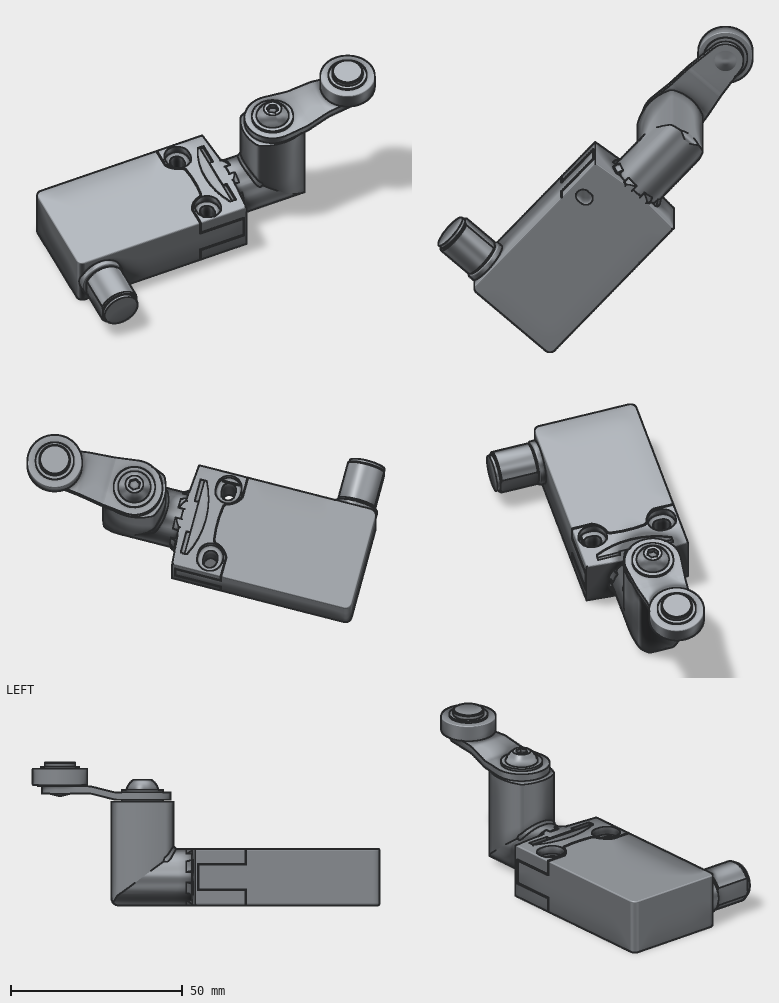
import cadquery as cq
import math


BODY_HALF_WIDTH = 15.5
BODY_HEIGHT = 16.5
BODY_FRONT_Y = -69.03
BODY_REAR_Y = -14.4
BODY_REAR_SIDE_Y = -15.4
BODY_CORNER_RADIUS = 1.9
BODY_TOP_ROUND = 0.4
BODY_BOTTOM_ROUND = 0.6
REAR_TAB_HALF_WIDTH = 3.5
MID_HEIGHT = BODY_HEIGHT / 2

GROOVE = 0.25
SEAM_Y = -30.1
TONGUE_END_Y = -16.3
TONGUE_BOTTOM = 4.6
TONGUE_TOP = 12.0

HOLE_X = 10.5
HOLE_Y = -25.6
COUNTERBORE_LENGTH = 8.4
COUNTERBORE_WIDTH = 7.5
COUNTERBORE_DEPTH = 2.5
HOLE_LENGTH = 5.2
HOLE_WIDTH = 4.1
BLIND_HOLE_FLOOR = 5.0
SLIT_X = 13.1
SLIT_WIDTH = 0.3
SLIT_HALF_LENGTH = 2.5
SLIT_DEPTH = 0.5

RECESS_HALF_WIDTH = 11.4
RECESS_REAR_Y = -16.9
RECESS_STEP_Y = -18.1
RECESS_END_Y = -18.8
RECESS_FRONT_Y = -21.5
RECESS_DEPTH = 0.4
RECESS_TAB_HALF_WIDTH = 4.7
RAMP_DEPTH = 1.0

CONNECTOR_Y = -62.2
CONNECTOR_TIP_X = 30.0
COLLAR_RADIUS = 6.5
COLLAR_END_X = 17.2
COLLAR_ROUND = 0.4
NECK_RADIUS = 5.3
BARREL_START_X = 17.4
BARREL_END_X = 29.0
BARREL_RADIUS = 6.1
BARREL_FLAT_DISTANCE = 5.45
BARREL_CHAMFER = 0.4

ARM_RADIUS = MID_HEIGHT
COLUMN_TOP = 30.3
COLUMN_HALF_DEPTH = 9.07
COLUMN_HALF_WIDTH = ARM_RADIUS
COLUMN_END_CORNER = (5.7, 7.7)
COLUMN_SIDE_CORNER = (6.7, 6.5)
CORNER_BULGE = 0.1
ELBOW_ROUND = 2.2
CROTCH_CHAMFER = 0.8

TOOTH_COUNT = 8
TOOTH_WIDTH = 3.4
TOOTH_LENGTH = 1.6
TOOTH_TIP_RADIUS = 9.2

LEVER_LENGTH = 24.0
LEVER_HUB_RADIUS = 8.2
LEVER_TIP_RADIUS = 5.25
LEVER_BOTTOM = 30.8
LEVER_THICKNESS = 2.15
LEVER_RISE = 1.8
BEND_START_Y = 8.0
BEND_END_Y = 15.1
BEND_RADIUS = 5.0
WASHER_RADIUS = 6.05
UPPER_WASHER_THICKNESS = 0.7

SCREW_RADIUS = 4.75
SCREW_FLAT_RADIUS = 2.6
SCREW_TOP = 36.7
DOME_BULGE = 0.25
SOCKET_RADIUS = 1.7
SOCKET_DEPTH = 1.5

ROLLER_RADIUS = 8.0
ROLLER_BOTTOM = 35.1
ROLLER_TOP = 39.9
ROLLER_ROUND = 0.3
ROLLER_WASHER_RADIUS = 5.6
ROLLER_LOWER_WASHER_RADIUS = 6.4
ROLLER_WASHER_TOP = 40.4
RIVET_RADIUS = 4.5
RIVET_TOP = 41.8
RIVET_CHAMFER = 0.3
RIVET_TAIL_RADIUS = 3.2
RIVET_TAIL_HEIGHT = 0.8

MARGIN = 1.0

lever_top = LEVER_BOTTOM + LEVER_THICKNESS
washer_top = lever_top + UPPER_WASHER_THICKNESS


def block(x_min, x_max, y_min, y_max, z_min, z_max):
    """Box given by its limits along each axis."""
    size = (x_max - x_min, y_max - y_min, z_max - z_min)
    return cq.Workplane("XY").box(*size, centered=False).translate((x_min, y_min, z_min))


def disc(radius, z_min, z_max, y=0.0):
    """Upright cylinder centred on the plane X = 0."""
    return cq.Workplane("XY").workplane(offset=z_min).center(0, y).circle(radius).extrude(z_max - z_min)


def obround(x, length, width, z_min, z_max):
    """Upright slot-shaped prism, long along X, at a fixing hole."""
    plane = cq.Workplane("XY").workplane(offset=z_min)
    return plane.center(x, HOLE_Y).slot2D(length, width).extrude(z_max - z_min)


def rod(radius, x_min, x_max):
    """Cylinder on the connector axis, along X."""
    plane = cq.Workplane("YZ").workplane(offset=x_min)
    return plane.center(CONNECTOR_Y, MID_HEIGHT).circle(radius).extrude(x_max - x_min)


def make_housing():
    """Box with rounded front corners and a rear face sloping to both sides of a middle tab."""
    w = BODY_HALF_WIDTH
    tab = REAR_TAB_HALF_WIDTH
    outline = [
        (-w, BODY_FRONT_Y),
        (w, BODY_FRONT_Y),
        (w, BODY_REAR_SIDE_Y),
        (tab, BODY_REAR_Y),
        (-tab, BODY_REAR_Y),
        (-w, BODY_REAR_SIDE_Y),
    ]
    housing = cq.Workplane("XY").polyline(outline).close().extrude(BODY_HEIGHT)
    housing = housing.faces("<Y").edges("|Z").fillet(BODY_CORNER_RADIUS)
    housing = housing.faces("<Z").edges("not >Y").fillet(BODY_BOTTOM_ROUND)
    housing = housing.faces(">Z").edges("not >Y").fillet(BODY_TOP_ROUND)
    return housing


def frame(outline):
    """Groove-wide ring following a closed outline, one groove deep above its plane."""
    outer = outline.offset2D(GROOVE / 2, "intersection").extrude(GROOVE)
    inner = outline.toPending().offset2D(-GROOVE / 2, "intersection").extrude(GROOVE)
    return outer.cut(inner)


def cut_joint_grooves(housing):
    """Joint line of the cover on the top face and on both side faces.

    On the top face it skirts both counterbores and crosses between them in a shallow crown.
    """
    beyond = 5.0
    edge = BODY_HALF_WIDTH + beyond
    bend = (9.4, SEAM_Y)
    bay_side = (7.4, -28.6)
    bay_end = (6.0, -25.9)
    crown_start = (5.3, -25.4)
    crown_y = -25.0
    front = BODY_FRONT_Y - beyond
    top_outline = (
        cq.Workplane("XY").workplane(offset=BODY_HEIGHT - GROOVE)
        .moveTo(-edge, front)
        .lineTo(-edge, SEAM_Y)
        .lineTo(-bend[0], bend[1])
        .threePointArc((-bay_side[0], bay_side[1]), (-bay_end[0], bay_end[1]))
        .lineTo(-crown_start[0], crown_start[1])
        .threePointArc((0, crown_y), crown_start)
        .lineTo(*bay_end)
        .threePointArc(bay_side, bend)
        .lineTo(edge, SEAM_Y)
        .lineTo(edge, front)
        .close()
    )
    housing = housing.cut(frame(top_outline))
    side_outline = [
        (front, -beyond),
        (SEAM_Y, -beyond),
        (SEAM_Y, TONGUE_BOTTOM),
        (TONGUE_END_Y, TONGUE_BOTTOM),
        (TONGUE_END_Y, TONGUE_TOP),
        (SEAM_Y, TONGUE_TOP),
        (SEAM_Y, BODY_HEIGHT + beyond),
        (front, BODY_HEIGHT + beyond),
    ]
    for start_x in (-BODY_HALF_WIDTH, BODY_HALF_WIDTH - GROOVE):
        plane = cq.Workplane("YZ").workplane(offset=start_x)
        housing = housing.cut(frame(plane.polyline(side_outline).close()))
    return housing


def cut_fixing_holes(housing):
    """Two elongated counterbored holes; the one on the -X side is blind, the other has a slit in its step."""
    floor = BODY_HEIGHT - COUNTERBORE_DEPTH
    for x, hole_bottom in ((-HOLE_X, BLIND_HOLE_FLOOR), (HOLE_X, 0)):
        housing = housing.cut(obround(x, COUNTERBORE_LENGTH, COUNTERBORE_WIDTH, floor, BODY_HEIGHT))
        housing = housing.cut(obround(x, HOLE_LENGTH, HOLE_WIDTH, hole_bottom, floor))
    slit = block(
        SLIT_X,
        SLIT_X + SLIT_WIDTH,
        HOLE_Y - SLIT_HALF_LENGTH,
        HOLE_Y + SLIT_HALF_LENGTH,
        floor - SLIT_DEPTH,
        floor,
    )
    return housing.cut(slit)


def cut_bow_recess(housing):
    """Shallow bow-shaped recess with a ramped slot at each end of its straight edge."""
    w = RECESS_HALF_WIDTH
    bow = (
        cq.Workplane("XY").workplane(offset=BODY_HEIGHT - RECESS_DEPTH)
        .moveTo(-w, RECESS_STEP_Y)
        .lineTo(-w, RECESS_END_Y)
        .threePointArc((0, RECESS_FRONT_Y), (w, RECESS_END_Y))
        .lineTo(w, RECESS_STEP_Y)
        .close()
        .extrude(RECESS_DEPTH)
    )
    housing = housing.cut(bow)
    ramp_profile = [
        (RECESS_STEP_Y, BODY_HEIGHT),
        (RECESS_STEP_Y, BODY_HEIGHT - RECESS_DEPTH),
        (RECESS_REAR_Y, BODY_HEIGHT - RAMP_DEPTH),
        (RECESS_REAR_Y, BODY_HEIGHT),
    ]
    for start_x in (-w, RECESS_TAB_HALF_WIDTH):
        plane = cq.Workplane("YZ").workplane(offset=start_x)
        housing = housing.cut(plane.polyline(ramp_profile).close().extrude(w - RECESS_TAB_HALF_WIDTH))
    return housing


def make_connector():
    """Collar, two-flat barrel and tip of the cable connector."""
    inner_x = BODY_HALF_WIDTH - BODY_CORNER_RADIUS
    collar = rod(COLLAR_RADIUS, inner_x, COLLAR_END_X).faces(">X").edges().fillet(COLLAR_ROUND)
    barrel = rod(BARREL_RADIUS, BARREL_START_X, BARREL_END_X).edges().chamfer(BARREL_CHAMFER)
    flats = block(
        BARREL_START_X,
        BARREL_END_X,
        CONNECTOR_Y - BARREL_FLAT_DISTANCE,
        CONNECTOR_Y + BARREL_FLAT_DISTANCE,
        0,
        BODY_HEIGHT,
    )
    core = rod(NECK_RADIUS, inner_x, CONNECTOR_TIP_X)
    return collar.union(barrel.intersect(flats)).union(core)


def column_prism(z_min, z_max):
    """Prism with four bulging faces joined by small rounded corners."""
    ex, ey = COLUMN_END_CORNER
    sx, sy = COLUMN_SIDE_CORNER
    mx = (ex + sx) / 2 + CORNER_BULGE
    my = (ey + sy) / 2 + CORNER_BULGE
    return (
        cq.Workplane("XY").workplane(offset=z_min)
        .moveTo(-ex, -ey)
        .threePointArc((0, -COLUMN_HALF_DEPTH), (ex, -ey))
        .threePointArc((mx, -my), (sx, -sy))
        .threePointArc((COLUMN_HALF_WIDTH, 0), (sx, sy))
        .threePointArc((mx, my), (ex, ey))
        .threePointArc((0, COLUMN_HALF_DEPTH), (-ex, ey))
        .threePointArc((-mx, my), (-sx, sy))
        .threePointArc((-COLUMN_HALF_WIDTH, 0), (-sx, -sy))
        .threePointArc((-mx, -my), (-ex, -ey))
        .close()
        .extrude(z_max - z_min)
    )


def arm_cylinder(y_min, y_max):
    """Round arm along Y."""
    plane = cq.Workplane("XZ", origin=(0, y_max, MID_HEIGHT))
    return plane.circle(ARM_RADIUS).extrude(y_max - y_min)


def make_elbow():
    """Upright column and horizontal arm meeting in an elbow with a rounded heel and a chamfered crotch."""
    column = column_prism(MID_HEIGHT, COLUMN_TOP)
    arm = arm_cylinder(BODY_REAR_Y, 0)
    corner = column_prism(0, MID_HEIGHT).intersect(arm_cylinder(0, COLUMN_HALF_DEPTH))
    heel = block(
        -COLUMN_HALF_DEPTH,
        COLUMN_HALF_DEPTH,
        -COLUMN_HALF_DEPTH,
        COLUMN_HALF_DEPTH,
        0,
        COLUMN_TOP,
    )
    heel = heel.edges("|X and >Y and <Z").fillet(ELBOW_ROUND)
    elbow = column.union(arm).union(corner.intersect(heel))
    crotch = cq.selectors.BoxSelector(
        (-MARGIN, -COLUMN_HALF_DEPTH - MARGIN, BODY_HEIGHT - MARGIN),
        (MARGIN, -COLUMN_HALF_DEPTH + MARGIN, BODY_HEIGHT + MARGIN),
    )
    return elbow.edges(crotch).chamfer(CROTCH_CHAMFER)


def make_teeth():
    """Ring of ramped teeth around the arm, trimmed to the height of the housing."""
    ring_profile = [
        (0, BODY_REAR_Y - MARGIN),
        (TOOTH_TIP_RADIUS, BODY_REAR_Y - MARGIN),
        (TOOTH_TIP_RADIUS, BODY_REAR_Y),
        (ARM_RADIUS, BODY_REAR_Y + TOOTH_LENGTH),
        (0, BODY_REAR_Y + TOOTH_LENGTH),
    ]
    ring = cq.Workplane("XY").polyline(ring_profile).close().revolve(360, (0, 0, 0), (0, 1, 0))
    pitch = 360 / TOOTH_COUNT
    spokes = cq.Workplane("XY")
    for index in range(TOOTH_COUNT):
        spoke = block(
            0,
            TOOTH_TIP_RADIUS + MARGIN,
            BODY_REAR_Y - MARGIN,
            BODY_REAR_Y + TOOTH_LENGTH,
            -TOOTH_WIDTH / 2,
            TOOTH_WIDTH / 2,
        )
        spokes = spokes.union(spoke.rotate((0, 0, 0), (0, 1, 0), (index + 0.5) * pitch))
    teeth = ring.intersect(spokes).translate((0, 0, MID_HEIGHT))
    limit = block(
        -BODY_HALF_WIDTH,
        BODY_HALF_WIDTH,
        BODY_FRONT_Y,
        0,
        0,
        BODY_HEIGHT,
    )
    return teeth.intersect(limit)


def make_lever():
    """Tapered strip with two round ends, cranked upwards between hub and tip."""
    slope = math.asin((LEVER_HUB_RADIUS - LEVER_TIP_RADIUS) / LEVER_LENGTH)
    hub_x = LEVER_HUB_RADIUS * math.cos(slope)
    hub_y = LEVER_HUB_RADIUS * math.sin(slope)
    tip_x = LEVER_TIP_RADIUS * math.cos(slope)
    tip_y = LEVER_LENGTH + LEVER_TIP_RADIUS * math.sin(slope)
    plan = (
        cq.Workplane("XY").workplane(offset=LEVER_BOTTOM)
        .moveTo(hub_x, hub_y)
        .lineTo(tip_x, tip_y)
        .threePointArc((0, LEVER_LENGTH + LEVER_TIP_RADIUS), (-tip_x, tip_y))
        .lineTo(-hub_x, hub_y)
        .threePointArc((0, -LEVER_HUB_RADIUS), (hub_x, hub_y))
        .close()
        .extrude(LEVER_THICKNESS + LEVER_RISE)
    )
    start_y = -LEVER_HUB_RADIUS
    end_y = LEVER_LENGTH + LEVER_TIP_RADIUS
    strip_profile = [
        (start_y, LEVER_BOTTOM),
        (BEND_START_Y, LEVER_BOTTOM),
        (BEND_END_Y, LEVER_BOTTOM + LEVER_RISE),
        (end_y, LEVER_BOTTOM + LEVER_RISE),
        (end_y, lever_top + LEVER_RISE),
        (BEND_END_Y, lever_top + LEVER_RISE),
        (BEND_START_Y, lever_top),
        (start_y, lever_top),
    ]
    strip = cq.Workplane("YZ").polyline(strip_profile).close().extrude(LEVER_HUB_RADIUS, both=True)
    bends = cq.selectors.BoxSelector(
        (-MARGIN, start_y + MARGIN, LEVER_BOTTOM - MARGIN),
        (MARGIN, end_y - MARGIN, lever_top + LEVER_RISE + MARGIN),
    )
    strip = strip.edges("|X").edges(bends).fillet(BEND_RADIUS)
    return plan.intersect(strip)


def make_screw():
    """Washers and button-head screw that hold the lever on the column."""
    lower_washer = disc(WASHER_RADIUS, COLUMN_TOP, LEVER_BOTTOM)
    upper_washer = disc(WASHER_RADIUS, lever_top, washer_top)
    dome_mid = (
        (SCREW_RADIUS + SCREW_FLAT_RADIUS) / 2 + DOME_BULGE,
        (washer_top + SCREW_TOP) / 2 + DOME_BULGE,
    )
    dome = (
        cq.Workplane("XZ")
        .moveTo(0, washer_top)
        .lineTo(SCREW_RADIUS, washer_top)
        .threePointArc(dome_mid, (SCREW_FLAT_RADIUS, SCREW_TOP))
        .lineTo(0, SCREW_TOP)
        .close()
        .revolve(360, (0, 0, 0), (0, 1, 0))
    )
    socket = (
        cq.Workplane("XY").workplane(offset=SCREW_TOP - SOCKET_DEPTH)
        .polygon(6, 2 * SOCKET_RADIUS)
        .extrude(SOCKET_DEPTH)
    )
    return lower_washer.union(upper_washer).union(dome.cut(socket))


def make_roller():
    """Roller with its washers and the rivet that fixes it to the lever tip."""
    tip_bottom = LEVER_BOTTOM + LEVER_RISE
    tip_top = lever_top + LEVER_RISE
    y = LEVER_LENGTH
    lower_washer = disc(ROLLER_LOWER_WASHER_RADIUS, tip_top, ROLLER_BOTTOM, y)
    roller = disc(ROLLER_RADIUS, ROLLER_BOTTOM, ROLLER_TOP, y).edges().fillet(ROLLER_ROUND)
    upper_washer = disc(ROLLER_WASHER_RADIUS, ROLLER_TOP, ROLLER_WASHER_TOP, y)
    head = disc(RIVET_RADIUS, ROLLER_WASHER_TOP, RIVET_TOP, y).faces(">Z").edges().chamfer(RIVET_CHAMFER)
    tail = (
        cq.Workplane("XZ", origin=(0, y, 0))
        .moveTo(0, tip_bottom)
        .lineTo(RIVET_TAIL_RADIUS, tip_bottom)
        .lineTo(0, tip_bottom - RIVET_TAIL_HEIGHT)
        .close()
        .revolve(360, (0, 0, 0), (0, 1, 0))
    )
    return lower_washer.union(roller).union(upper_washer).union(head).union(tail)


housing = make_housing()
housing = cut_joint_grooves(housing)
housing = cut_fixing_holes(housing)
housing = cut_bow_recess(housing)

result = housing
for piece in (make_connector(), make_elbow(), make_teeth(), make_lever(), make_screw(), make_roller()):
    result = result.union(piece)